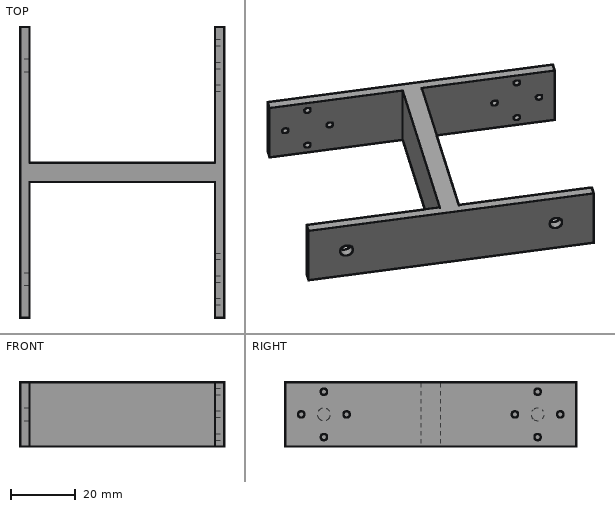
import cadquery as cq

width = 63.2
length = 90.0
height = 20.0
plate_thickness = 3.0
web_thickness = 6.0

hole_offset = 33.0
shaft_hole_diameter = 4.0
screw_hole_diameter = 2.0
screw_circle_diameter = 14.0
screw_count = 4

hole_positions = [(-hole_offset, 0), (hole_offset, 0)]
plate_center_x = (width - plate_thickness) / 2


def side_plate(center_x):
    return cq.Workplane("XY").box(plate_thickness, length, height).translate((center_x, 0, 0))


left_plate = (
    side_plate(-plate_center_x)
    .faces("<X").workplane(centerOption="CenterOfBoundBox")
    .pushPoints(hole_positions)
    .hole(shaft_hole_diameter)
)

right_plate = side_plate(plate_center_x)
for hole_y, hole_z in hole_positions:
    right_plate = (
        right_plate.faces(">X").workplane(centerOption="CenterOfBoundBox")
        .center(hole_y, hole_z)
        .polarArray(screw_circle_diameter / 2, 0, 360, screw_count)
        .hole(screw_hole_diameter)
    )

web = cq.Workplane("XY").box(width - 2 * plate_thickness, web_thickness, height)

result = left_plate.union(web).union(right_plate)